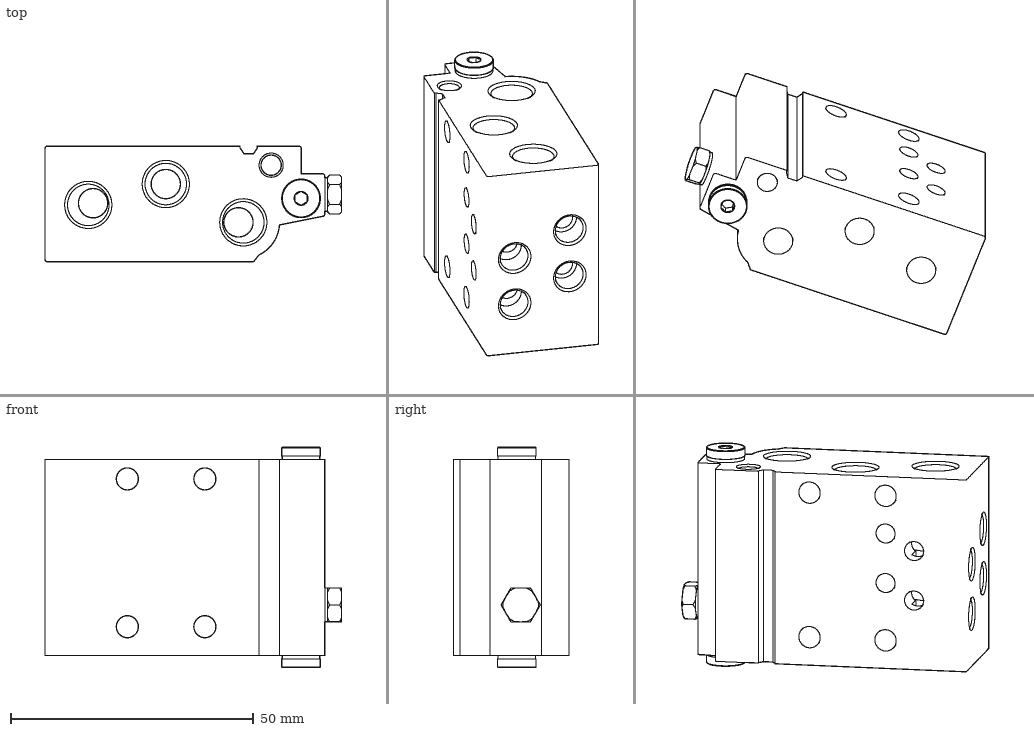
import cadquery as cq
import math

BLOCK_HEIGHT = 40.5
BLOCK_DEPTH = 23.9
SHOULDER_X = 52.9
SHOULDER_Y = 18.2
NOSE_X = 57.75
NOSE_LOW_Y = 9.45
VALLEY_X = 48.42
VALLEY_Y = 7.6
CORNER_RADIUS = 0.5

LEAD_IN_X = 43.06
LEAD_IN_END_X = 44.15
NOTCH_X = 42.05
NOTCH_WIDTH = 3.5
NOTCH_FLOOR_WIDTH = 2.0
NOTCH_LIP = 0.4
NOTCH_DEPTH = 1.55

MAIN_PORT_DIA = 8.57
MAIN_PORT_RIM_DIA = 9.75
MAIN_PORT_DEPTH = 10.0
PASSAGE_DIA = 6.0
MIDDLE_PORT_X = 24.93
PORT_PITCH = 16.0
PASSAGE_PITCH = 15.0
REAR_PORT_Y = 16.05
LEFT_PORT_Y = 11.75
LEFT_PASSAGE_Y = 12.1
RIGHT_PORT_Y = 8.15
LEFT_PORT_X = MIDDLE_PORT_X - PORT_PITCH
RIGHT_PORT_X = MIDDLE_PORT_X + PORT_PITCH
LEFT_PASSAGE_X = MIDDLE_PORT_X - PASSAGE_PITCH
RIGHT_PASSAGE_X = MIDDLE_PORT_X + PASSAGE_PITCH
PORT_WALL_RADIUS = 7.5

PILOT_DIA = 4.13
PILOT_RIM_DIA = 5.0
PILOT_X = 46.68
PILOT_Y = 19.95

MOUNT_DIA = 4.5
MOUNT_XS = (17.0, 33.0)
MOUNT_MID_Z = 21.2
MOUNT_PITCH_Z = 30.5

WORK_PORT_DIA = 5.92
WORK_PORT_RIM_DIA = 6.92
WORK_PORT_DEPTH = 6.0
DUCT_DIA = 4.2
WORK_PITCH_Z = 10.45
FRONT_WORK_Y = 6.25
FRONT_WORK_Z = 16.05
FRONT_DUCT_Z = FRONT_WORK_Z
REAR_WORK_Y = 18.0
REAR_WORK_Z = 11.05
REAR_DUCT_Z = 11.9

CROSS_DIA = 4.0
CROSS_TIP_ANGLE = 118.0
DUCT_OVERSHOOT = 1.2
FRONT_CROSS_X = 17.0
FRONT_CROSS_Z = 18.05
FRONT_CROSS_END_Y = 4.8
REAR_CROSS_X = 11.0
REAR_CROSS_Z = 14.6
REAR_CROSS_END_Y = 16.5

PLUG_DIA = 8.0
PLUG_NECK_DIA = 7.8
PLUG_NECK_HEIGHT = 0.7
PLUG_HEIGHT = 2.5
PLUG_EDGE_CHAMFER = 0.15
PLUG_X = 52.85
PLUG_Y = 13.1
SOCKET_FLATS = 2.5
SOCKET_DEPTH = 2.0

HEX_FLATS = 7.0
HEX_COLLAR_DIA = 7.0
HEX_COLLAR_LENGTH = 0.6
HEX_END_X = 61.2
HEX_Y = 13.9
HEX_Z = 10.45
HEX_FACE_DIA = 7.3
HEX_CORNER_BEVEL = 0.4


def hexagon_corners(flats):
    """Diameter across the corners of a hexagon with the given size across flats."""
    return flats / math.cos(math.pi / 6)


def drill(diameter, depth, start, direction):
    """Cylinder cutter that runs from a start point along a direction."""
    cylinder = cq.Solid.makeCylinder(diameter / 2, depth, cq.Vector(*start), cq.Vector(*direction))
    return cq.Workplane(cylinder)


def countersink(rim_dia, hole_dia, start, direction):
    """45 degree cone cutter that widens a hole up to its rim."""
    depth = (rim_dia - hole_dia) / 2
    cone = cq.Solid.makeCone(rim_dia / 2, hole_dia / 2, depth, cq.Vector(*start), cq.Vector(*direction))
    return cq.Workplane(cone)


def wall_y(x):
    """Y of the lower side of the round wall about the right main port."""
    return RIGHT_PORT_Y - math.sqrt(PORT_WALL_RADIUS**2 - (x - RIGHT_PORT_X) ** 2)


def block_blank():
    """Upright prism of the block outline with its outer corners rounded."""
    wall_mid_x = RIGHT_PORT_X + PORT_WALL_RADIUS * math.cos(math.pi / 4)
    blank = (
        cq.Workplane("XY")
        .moveTo(0, 0)
        .lineTo(LEAD_IN_X, 0)
        .lineTo(LEAD_IN_END_X, wall_y(LEAD_IN_END_X))
        .threePointArc((wall_mid_x, wall_y(wall_mid_x)), (VALLEY_X, VALLEY_Y))
        .lineTo(NOSE_X, NOSE_LOW_Y)
        .lineTo(NOSE_X, SHOULDER_Y)
        .lineTo(SHOULDER_X, SHOULDER_Y)
        .lineTo(SHOULDER_X, BLOCK_DEPTH)
        .lineTo(0, BLOCK_DEPTH)
        .close()
        .extrude(BLOCK_HEIGHT)
    )
    rounded_corners = (
        (0, 0),
        (LEAD_IN_X, 0),
        (0, BLOCK_DEPTH),
        (SHOULDER_X, BLOCK_DEPTH),
        (NOSE_X, SHOULDER_Y),
        (NOSE_X, NOSE_LOW_Y),
    )
    for x, y in rounded_corners:
        corner = cq.selectors.NearestToPointSelector((x, y, BLOCK_HEIGHT / 2))
        blank = blank.edges("|Z").edges(corner).fillet(CORNER_RADIUS)
    return blank


def clip_notch():
    half_width = NOTCH_WIDTH / 2
    half_floor = NOTCH_FLOOR_WIDTH / 2
    lip_y = BLOCK_DEPTH - NOTCH_LIP
    floor_y = BLOCK_DEPTH - NOTCH_DEPTH
    return (
        cq.Workplane("XY")
        .moveTo(NOTCH_X - half_width, BLOCK_DEPTH)
        .lineTo(NOTCH_X - half_width, lip_y)
        .lineTo(NOTCH_X - half_floor, floor_y)
        .lineTo(NOTCH_X + half_floor, floor_y)
        .lineTo(NOTCH_X + half_width, lip_y)
        .lineTo(NOTCH_X + half_width, BLOCK_DEPTH)
        .close()
        .extrude(BLOCK_HEIGHT)
    )


def cut_top_ports(body):
    down = (0, 0, -1)
    ports = (
        ((LEFT_PORT_X, LEFT_PORT_Y), (LEFT_PASSAGE_X, LEFT_PASSAGE_Y)),
        ((MIDDLE_PORT_X, REAR_PORT_Y), (MIDDLE_PORT_X, REAR_PORT_Y)),
        ((RIGHT_PORT_X, RIGHT_PORT_Y), (RIGHT_PASSAGE_X, RIGHT_PORT_Y)),
    )
    for port_xy, passage_xy in ports:
        port_start = (*port_xy, BLOCK_HEIGHT)
        body = body.cut(countersink(MAIN_PORT_RIM_DIA, MAIN_PORT_DIA, port_start, down))
        body = body.cut(drill(MAIN_PORT_DIA, MAIN_PORT_DEPTH, port_start, down))
        body = body.cut(drill(PASSAGE_DIA, BLOCK_HEIGHT, (*passage_xy, BLOCK_HEIGHT), down))
    pilot_start = (PILOT_X, PILOT_Y, BLOCK_HEIGHT)
    body = body.cut(countersink(PILOT_RIM_DIA, PILOT_DIA, pilot_start, down))
    return body.cut(drill(PILOT_DIA, BLOCK_HEIGHT, pilot_start, down))


def cut_mounting_holes(body):
    for x in MOUNT_XS:
        for side in (-1, 1):
            z = MOUNT_MID_Z + side * MOUNT_PITCH_Z / 2
            body = body.cut(drill(MOUNT_DIA, BLOCK_DEPTH, (x, 0, z), (0, 1, 0)))
    return body


def cut_working_port(body, y, port_z, duct_z, cross_x, cross_z, cross_end_y):
    """Left-end port whose duct runs into a blind cross duct drilled from the rear face."""
    inward = (1, 0, 0)
    forward = (0, -1, 0)
    cross_radius = CROSS_DIA / 2
    cross_length = BLOCK_DEPTH - cross_end_y
    tip_length = cross_radius / math.tan(math.radians(CROSS_TIP_ANGLE / 2))
    tip_start = cq.Vector(cross_x, cross_end_y, cross_z)
    cross_tip = cq.Solid.makeCone(cross_radius, 0, tip_length, tip_start, cq.Vector(*forward))
    body = body.cut(countersink(WORK_PORT_RIM_DIA, WORK_PORT_DIA, (0, y, port_z), inward))
    body = body.cut(drill(WORK_PORT_DIA, WORK_PORT_DEPTH, (0, y, port_z), inward))
    body = body.cut(drill(DUCT_DIA, cross_x + DUCT_OVERSHOOT, (0, y, duct_z), inward))
    body = body.cut(drill(CROSS_DIA, cross_length, (cross_x, BLOCK_DEPTH, cross_z), forward))
    return body.cut(cq.Workplane(cross_tip))


def make_block():
    body = block_blank().cut(clip_notch())
    body = cut_top_ports(body)
    body = cut_mounting_holes(body)
    for rise in (0, WORK_PITCH_Z):
        body = cut_working_port(
            body,
            FRONT_WORK_Y,
            FRONT_WORK_Z + rise,
            FRONT_DUCT_Z + rise,
            FRONT_CROSS_X,
            FRONT_CROSS_Z + rise,
            FRONT_CROSS_END_Y,
        )
        body = cut_working_port(
            body,
            REAR_WORK_Y,
            REAR_WORK_Z + rise,
            REAR_DUCT_Z + rise,
            REAR_CROSS_X,
            REAR_CROSS_Z + rise,
            REAR_CROSS_END_Y,
        )
    return body


def make_plug(base_z, outward):
    """Round plug with a hexagon socket; outward is +1 for the top face, -1 for the bottom."""
    base = cq.Plane(origin=(PLUG_X, PLUG_Y, base_z), xDir=(0, 1, 0), normal=(0, 0, outward))
    up = (0, 0, outward)
    top_center = (PLUG_X, PLUG_Y, base_z + outward * PLUG_HEIGHT)
    neck = cq.Workplane(base).circle(PLUG_NECK_DIA / 2).extrude(PLUG_NECK_HEIGHT)
    head = (
        cq.Workplane(base)
        .workplane(offset=PLUG_NECK_HEIGHT)
        .circle(PLUG_DIA / 2)
        .extrude(PLUG_HEIGHT - PLUG_NECK_HEIGHT)
        .faces(cq.selectors.DirectionMinMaxSelector(cq.Vector(*up), True))
        .edges()
        .chamfer(PLUG_EDGE_CHAMFER)
    )
    socket = (
        cq.Workplane(base)
        .workplane(offset=PLUG_HEIGHT - SOCKET_DEPTH)
        .polygon(6, hexagon_corners(SOCKET_FLATS))
        .extrude(SOCKET_DEPTH)
    )
    socket_rim = countersink(hexagon_corners(SOCKET_FLATS), SOCKET_FLATS, top_center, (0, 0, -outward))
    return neck.union(head).cut(socket).cut(socket_rim)


def make_hex_screw():
    seat = cq.Plane(origin=(NOSE_X, HEX_Y, HEX_Z), xDir=(0, 1, 0), normal=(1, 0, 0))
    corner_radius = hexagon_corners(HEX_FLATS) / 2
    face_radius = HEX_FACE_DIA / 2
    head_start = HEX_COLLAR_LENGTH
    head_end = HEX_END_X - NOSE_X
    collar = cq.Workplane(seat).circle(HEX_COLLAR_DIA / 2).extrude(HEX_COLLAR_LENGTH)
    head = (
        cq.Workplane(seat)
        .workplane(offset=head_start)
        .polygon(6, 2 * corner_radius)
        .extrude(head_end - head_start)
    )
    bevel_plane = cq.Plane(origin=(NOSE_X, HEX_Y, HEX_Z), xDir=(0, 1, 0), normal=(0, 0, -1))
    bevel = (
        cq.Workplane(bevel_plane)
        .moveTo(0, head_start)
        .lineTo(face_radius, head_start)
        .lineTo(corner_radius, head_start + HEX_CORNER_BEVEL)
        .lineTo(corner_radius, head_end - HEX_CORNER_BEVEL)
        .lineTo(face_radius, head_end)
        .lineTo(0, head_end)
        .close()
        .revolve(360, (0, 0, 0), (0, 1, 0))
    )
    return collar.union(head.intersect(bevel))


block = make_block()
plugs = [make_plug(BLOCK_HEIGHT, 1), make_plug(0, -1)]
hex_screw = make_hex_screw()

result = cq.Compound.makeCompound([block.val(), *[plug.val() for plug in plugs], hex_screw.val()])